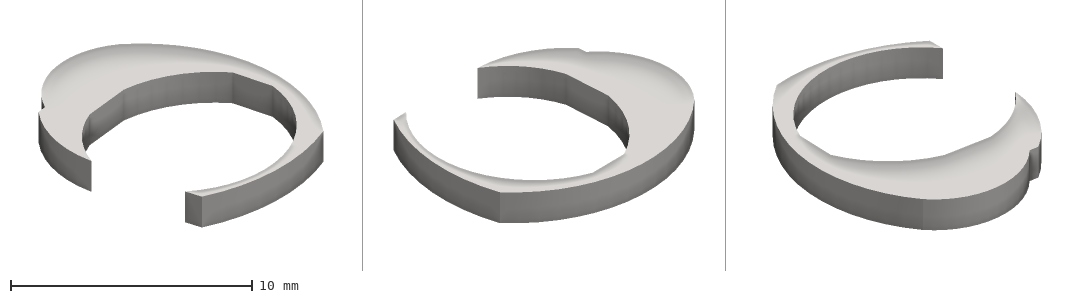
import cadquery as cq

thickness = 1.5
overall_width = 12.28
overall_depth = 10.17

thick_tip_outer = (5.34, 0.0)
thick_tip_inner = (5.44, 0.0)
step_x = 1.44
step_bottom = (step_x, 1.96)
step_top = (step_x, 2.43)
left_shoulder = (1.17, 8.29)
right_shoulder = (12.02, 7.38)
thin_tip_outer = (10.81, 0.25)

thin_tip_inner = (10.0, 0.2)
top_flat_right = (8.28, 9.14)
top_flat_left = (6.3, 9.09)
side_flat_top = (3.35, 5.43)
side_flat_bottom = (3.29, 3.01)

thick_horn_bulge = (3.07, 0.61)
left_extreme = (0.0, 5.53)
crown = (6.08, overall_depth)
right_extreme = (overall_width, 5.16)
inner_right_bulge = (11.74, 4.73)
inner_upper_bulge = (4.5, 7.65)
inner_lower_bulge = (4.0, 1.39)

profile = (
    cq.Workplane("XY")
    .moveTo(*thick_tip_outer)
    .threePointArc(thick_horn_bulge, step_bottom)
    .lineTo(*step_top)
    .threePointArc(left_extreme, left_shoulder)
    .threePointArc(crown, right_shoulder)
    .threePointArc(right_extreme, thin_tip_outer)
    .lineTo(*thin_tip_inner)
    .threePointArc(inner_right_bulge, top_flat_right)
    .lineTo(*top_flat_left)
    .threePointArc(inner_upper_bulge, side_flat_top)
    .lineTo(*side_flat_bottom)
    .threePointArc(inner_lower_bulge, thick_tip_inner)
    .close()
)

result = profile.extrude(thickness)